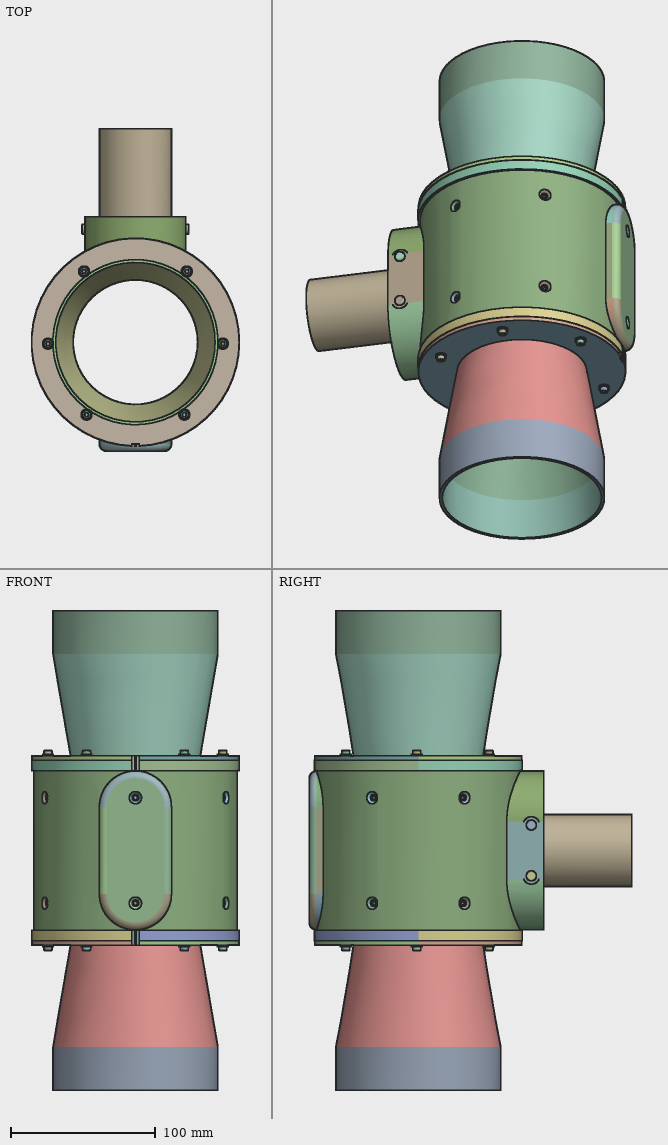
import cadquery as cq
import math

TOTAL_HEIGHT = 332.06
TOTAL_DEPTH = 223.22

BODY_DIA = 141.0
BAND_DIA = 144.0
BORE_DIA = 86.0
HOUSING_HEIGHT = 131.0
PLATE_THICKNESS = 3.0
PLATE_DIA = 143.5
BAND_HEIGHT = 7.3
BAND_GAP = 5.0
BAND_TONGUE = 1.0

TUBE_DIA = 114.3
TUBE_BORE_DIA = 110.3
TUBE_LENGTH = 30.0
TUBE_WALL = (TUBE_DIA - TUBE_BORE_DIA) / 2
NECK_DIA = BORE_DIA + 2 * TUBE_WALL

COVER_WIDTH = 50.0
COVER_HEIGHT = 110.0
COVER_FACE_Y = -75.5
COVER_FILLET = 5.0

BRANCH_DIA = 50.0
BRANCH_END_Y = COVER_FACE_Y + TOTAL_DEPTH
BOSS_WIDTH = 70.0
BOSS_HEIGHT = COVER_HEIGHT
BOSS_END_Y = 86.9
PAD_DIA = 11.5
BOSS_SCREW_Y = 78.2
BOSS_SCREW_Z = 17.6
BOSS_SCREW_DIA = 7.0
BOSS_SCREW_HEIGHT = 2.0

SUNK_ROW_Z = 36.5
SUNK_DIA = 8.5
SUNK_FLOOR_DIA = 4.5
SUNK_DEPTH = (SUNK_DIA - SUNK_FLOOR_DIA) / 2
SUNK_ANGLE = 27.0

WASHER_DIA = 7.5
WASHER_HEIGHT = 1.0
HEAD_DIA = 5.7
HEAD_HEIGHT = 2.8
HEAD_FILLET = 0.9
SOCKET_SIZE = 3.0
SOCKET_DEPTH = 1.5
PLATE_SCREW_RADIUS = 60.5
PLATE_SCREW_ANGLES = (54, -1, -56, -124, -179, 126)

HALF_HOUSING = HOUSING_HEIGHT / 2
HALF_TOTAL = TOTAL_HEIGHT / 2
BODY_RADIUS = BODY_DIA / 2
BAND_RADIUS = BAND_DIA / 2


def cylinder(diameter, height, base=(0, 0, 0), axis=(0, 0, 1)):
    return cq.Workplane(cq.Solid.makeCylinder(diameter / 2, height, cq.Vector(*base), cq.Vector(*axis)))


def obround_bar(width, height, y_start, y_end):
    """Upright obround section in XZ, running along +Y."""
    plane = cq.Plane(origin=(0, y_start, 0), xDir=(0, 0, 1), normal=(0, 1, 0))
    return cq.Workplane(plane).slot2D(height, width).extrude(y_end - y_start)


def make_upper_duct(neck_dia, tube_dia):
    """Solid neck, cone and end tube, revolved about Z from the mid-plane up."""
    tube_start = HALF_TOTAL - TUBE_LENGTH
    profile = [
        (0, 0),
        (neck_dia / 2, 0),
        (neck_dia / 2, HALF_HOUSING),
        (tube_dia / 2, tube_start),
        (tube_dia / 2, HALF_TOTAL),
        (0, HALF_TOTAL),
    ]
    return cq.Workplane("XZ").polyline(profile).close().revolve(360, (0, 0), (0, 1))


def make_upper_flange():
    """End plate over a flange band, notched on the -Y side by the band gap."""
    plate_base = HALF_HOUSING - PLATE_THICKNESS
    plate = cylinder(PLATE_DIA, PLATE_THICKNESS, (0, 0, plate_base))
    band_base = plate_base - BAND_HEIGHT
    band = cylinder(BAND_DIA, BAND_HEIGHT, (0, 0, band_base))
    gap_depth = BAND_RADIUS - BODY_RADIUS
    gap_height = BAND_HEIGHT + PLATE_THICKNESS
    center = (0, -BAND_RADIUS, band_base + gap_height / 2)
    gap_radial = 2 * gap_depth
    gap = cq.Workplane().box(BAND_GAP, gap_radial, gap_height).translate(center)
    tongue = cq.Workplane().box(BAND_TONGUE, gap_radial, gap_height).translate(center)
    return plate.union(band, clean=False).cut(gap.cut(tongue))


def make_plate_screw(angle):
    x = PLATE_SCREW_RADIUS * math.cos(math.radians(angle))
    y = PLATE_SCREW_RADIUS * math.sin(math.radians(angle))
    washer = cylinder(WASHER_DIA, WASHER_HEIGHT)
    head = cylinder(HEAD_DIA, HEAD_HEIGHT, (0, 0, WASHER_HEIGHT)).faces(">Z").fillet(HEAD_FILLET)
    top = WASHER_HEIGHT + HEAD_HEIGHT
    socket = cq.Workplane().workplane(offset=top - SOCKET_DEPTH).polygon(6, SOCKET_SIZE).extrude(SOCKET_DEPTH)
    return washer.union(head).cut(socket).translate((x, y, HALF_HOUSING))


def make_upper_end():
    end = make_upper_duct(NECK_DIA, TUBE_DIA).union(make_upper_flange(), clean=False)
    for angle in PLATE_SCREW_ANGLES:
        end = end.union(make_plate_screw(angle), clean=False)
    return end


def make_cover():
    cover = obround_bar(COVER_WIDTH, COVER_HEIGHT, COVER_FACE_Y, 0)
    return cover.faces("<Y").edges().fillet(COVER_FILLET)


def make_branch():
    """Obround boss with the branch stub and two screw pads on each flat side."""
    boss = obround_bar(BOSS_WIDTH, BOSS_HEIGHT, 0, BOSS_END_Y)
    branch = boss.union(cylinder(BRANCH_DIA, BRANCH_END_Y, axis=(0, 1, 0)))
    for z in (-BOSS_SCREW_Z, BOSS_SCREW_Z):
        base = (-BOSS_WIDTH / 2, BOSS_SCREW_Y, z)
        branch = branch.union(cylinder(PAD_DIA, BOSS_WIDTH, base, (1, 0, 0)), clean=False)
        for side in (-1, 1):
            seat = (side * BOSS_WIDTH / 2, BOSS_SCREW_Y, z)
            head = cylinder(BOSS_SCREW_DIA, BOSS_SCREW_HEIGHT, seat, (side, 0, 0))
            outer_face = ">X" if side > 0 else "<X"
            head = head.faces(outer_face).fillet(HEAD_FILLET)
            branch = branch.union(head)
    return branch


def make_sunk_recess(surface_point, inward):
    """Conical screw seat with a small driver socket in its floor."""
    point = cq.Vector(*surface_point)
    direction = cq.Vector(*inward)
    cone = cq.Solid.makeCone(SUNK_DIA / 2, SUNK_FLOOR_DIA / 2, SUNK_DEPTH, point, direction)
    mouth = cq.Solid.makeCylinder(SUNK_DIA / 2, SUNK_DEPTH, point, direction * -1)
    socket = cq.Solid.makeCylinder(SOCKET_SIZE / 2, SUNK_DEPTH + SOCKET_DEPTH, point, direction)
    return cq.Workplane(cone.fuse(mouth, socket))


def cut_sunk_screws(part):
    for z in (-SUNK_ROW_Z, SUNK_ROW_Z):
        part = part.cut(make_sunk_recess((0, COVER_FACE_Y, z), (0, 1, 0)), clean=False)
        for angle in (SUNK_ANGLE, -SUNK_ANGLE, 180 - SUNK_ANGLE, 180 + SUNK_ANGLE):
            x = math.cos(math.radians(angle))
            y = math.sin(math.radians(angle))
            recess = make_sunk_recess((BODY_RADIUS * x, BODY_RADIUS * y, z), (-x, -y, 0))
            part = part.cut(recess, clean=False)
    return part


upper_end = make_upper_end()
upper_bore = make_upper_duct(BORE_DIA, TUBE_BORE_DIA)

drum_height = HOUSING_HEIGHT - 2 * PLATE_THICKNESS
result = cylinder(BODY_DIA, drum_height, (0, 0, -drum_height / 2))
result = result.union(upper_end, clean=False).union(upper_end.mirror("XY"), clean=False)
result = result.union(make_cover(), clean=False).union(make_branch(), clean=False)
result = cut_sunk_screws(result)
result = result.cut(upper_bore, clean=False).cut(upper_bore.mirror("XY"), clean=False)